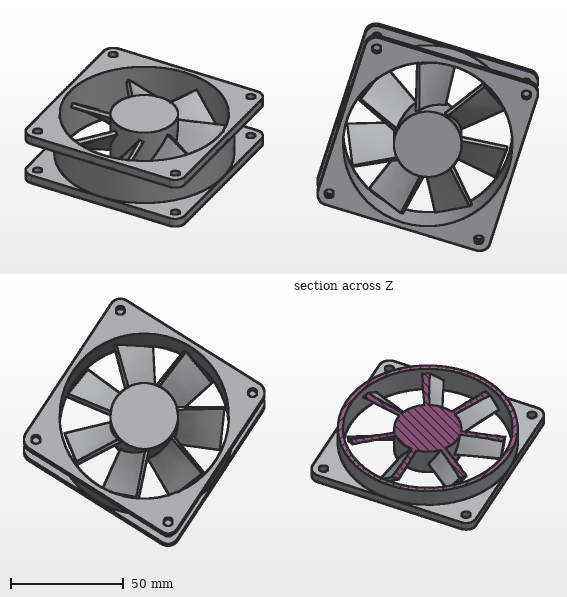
import cadquery as cq
import math

side = 80.0
height = 25.0
flange_thickness = 4.2
corner_radius = 5.0
bore_diameter = 75.0
hole_diameter = 4.0
hole_circle_radius = 49.2
hole_start_angle = 45.2

hub_diameter = 30.0
blade_count = 7
blade_chord = 20.0
blade_thickness = 2.0
first_blade_angle = -90.0
root_radius = 12.0
root_pitch = 55.0
root_mid_height = height / 2
root_offset = 0.2
tip_radius = 34.7
tip_pitch = 35.0
tip_mid_height = 13.1
tip_offset = 1.2


def make_flange(base_height):
    """Square mounting plate with rounded corners."""
    return (
        cq.Workplane("XY")
        .workplane(offset=base_height)
        .rect(side, side)
        .extrude(flange_thickness)
        .edges("|Z")
        .fillet(corner_radius)
    )


def make_housing():
    """Round duct between two flanges, with the bore and corner holes cut through."""
    duct = cq.Workplane("XY").circle(side / 2).extrude(height)
    body = duct.union(make_flange(0)).union(make_flange(height - flange_thickness))
    bore = cq.Workplane("XY").circle(bore_diameter / 2).extrude(height)
    holes = (
        cq.Workplane("XY")
        .polarArray(hole_circle_radius, hole_start_angle, 360, 4)
        .circle(hole_diameter / 2)
        .extrude(height)
    )
    return body.cut(bore).cut(holes)


def blade_section(radius, pitch, offset, mid_height):
    """Pitched rectangular outline in a plane square to the X axis."""
    along = cq.Vector(0, math.cos(math.radians(pitch)), math.sin(math.radians(pitch)))
    plane = cq.Plane(origin=(radius, offset, mid_height), xDir=along, normal=(1, 0, 0))
    return cq.Workplane(plane).rect(blade_chord, blade_thickness).val()


def make_blade():
    """Twisted blade pointing along +X."""
    root = blade_section(root_radius, root_pitch, root_offset, root_mid_height)
    tip = blade_section(tip_radius, tip_pitch, tip_offset, tip_mid_height)
    return cq.Workplane(cq.Solid.makeLoft([root, tip], True))


def make_impeller():
    """Solid hub carrying evenly spaced blades."""
    impeller = cq.Workplane("XY").circle(hub_diameter / 2).extrude(height)
    blade = make_blade()
    for index in range(blade_count):
        angle = first_blade_angle + index * 360 / blade_count
        impeller = impeller.union(blade.rotate((0, 0, 0), (0, 0, 1), angle))
    return impeller


housing = make_housing()
impeller = make_impeller()
result = cq.Compound.makeCompound([housing.val(), impeller.val()])